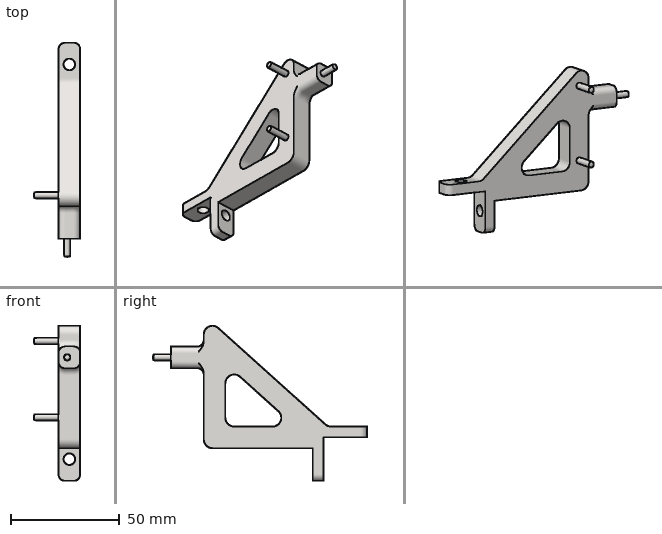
import cadquery as cq
import math


thickness = 10.0
body_height = 56.23
slope_angle = math.radians(41.97)
corner_radius = 4.0
frame_width = 10.0

tab_thickness = 5.0
tab_end_y = 75.0
tab_top = 10.0
hanging_tab_back_y = 55.0
hanging_tab_bottom = -15.0
tab_end_radius = 3.0
tab_hole_diameter = 5.2
tab_hole_to_end = 10.0

boss_length = 15.0
boss_height = 10.0
boss_center_z = 41.7
boss_corner_radius = 3.0
boss_root_radius = 3.0

pin_diameter = 3.0
pin_body_length = 20.0
pin_taper_length = 0.9
pin_dome_radius = pin_diameter
pin_dome_height = 0.33
side_pin_depth = 9.0
side_pin_y = 5.0
side_pin_heights = (14.2, 49.2)
boss_pin_depth = 12.0
boss_pin_x = 4.0

top_round_z = body_height - corner_radius
slope_offset = (
    corner_radius * math.sin(slope_angle) + top_round_z * math.cos(slope_angle) + corner_radius
)


def slope_y(z, inset=0.0):
    """Y of the sloped edge, moved inward by inset, at height z."""
    return (slope_offset - inset - z * math.cos(slope_angle)) / math.sin(slope_angle)


def slope_z(y, inset=0.0):
    """Z of the sloped edge, moved inward by inset, at distance y from the front face."""
    return (slope_offset - inset - y * math.sin(slope_angle)) / math.cos(slope_angle)


def extrude_profile(points):
    """Extrude a YZ outline across the bracket thickness."""
    return cq.Workplane("YZ").polyline(points).close().extrude(thickness)


def near_edge(y, z):
    """Select the edge along X that passes closest to (y, z)."""
    return cq.selectors.NearestToPointSelector((thickness / 2, y, z))


def make_plate():
    """Triangular plate with both tabs as one outline, with rounded corners."""
    hanging_tab_front_y = hanging_tab_back_y - tab_thickness
    tab_underside = tab_top - tab_thickness
    plate = extrude_profile([
        (0, 0),
        (hanging_tab_front_y, 0),
        (hanging_tab_front_y, hanging_tab_bottom),
        (hanging_tab_back_y, hanging_tab_bottom),
        (hanging_tab_back_y, tab_underside),
        (tab_end_y, tab_underside),
        (tab_end_y, tab_top),
        (slope_y(tab_top), tab_top),
        (0, slope_z(0)),
    ])
    for corner in [(0, 0), (slope_y(tab_top), tab_top), (0, slope_z(0))]:
        plate = plate.edges("|X").edges(near_edge(*corner)).fillet(corner_radius)
    plate = plate.faces(">Y").edges("|Z").fillet(tab_end_radius)
    return plate.faces("<Z").edges("|Y").fillet(tab_end_radius)


def make_window():
    """Triangular opening that leaves a frame of even width."""
    window = extrude_profile([
        (frame_width, frame_width),
        (slope_y(frame_width, frame_width), frame_width),
        (frame_width, slope_z(frame_width, frame_width)),
    ])
    return window.edges("|X").fillet(corner_radius)


def make_boss():
    """Rounded boss with a filleted root, trimmed flush with the plate sides."""
    root_margin = 2 * boss_root_radius
    root = cq.Workplane("XY").box(
        thickness + 2 * root_margin, frame_width, boss_height + 2 * root_margin
    ).translate((thickness / 2, frame_width / 2, boss_center_z))
    boss = (
        cq.Workplane("XZ", origin=(thickness / 2, 0, boss_center_z))
        .rect(thickness, boss_height)
        .extrude(boss_length)
        .edges("|Y")
        .fillet(boss_corner_radius)
    )
    flared = root.union(boss)
    root_selector = cq.selectors.BoxSelector(
        (-boss_root_radius, -boss_root_radius, boss_center_z - boss_height),
        (thickness + boss_root_radius, boss_root_radius, boss_center_z + boss_height),
    )
    flared = flared.edges(root_selector).fillet(boss_root_radius)
    trim_depth = boss_length + boss_root_radius
    trim = cq.Workplane("XY").box(
        thickness, trim_depth, boss_height + 2 * boss_root_radius
    ).translate((thickness / 2, boss_root_radius - trim_depth / 2, boss_center_z))
    return flared.intersect(trim)


def pin_seats():
    """Mouth centre, outward direction and depth of every pin hole."""
    seats = [((0, side_pin_y, z), (-1, 0, 0), side_pin_depth) for z in side_pin_heights]
    seats.append(((boss_pin_x, -boss_length, boss_center_z), (0, -1, 0), boss_pin_depth))
    return seats


def make_bracket():
    """Plate, boss, tab holes and blind pin holes."""
    bracket = make_plate().cut(make_window()).union(make_boss())

    tab_hole_radius = tab_hole_diameter / 2
    upright_hole = cq.Solid.makeCylinder(
        tab_hole_radius,
        tab_thickness,
        cq.Vector(thickness / 2, tab_end_y - tab_hole_to_end, tab_top - tab_thickness),
        cq.Vector(0, 0, 1),
    )
    level_hole = cq.Solid.makeCylinder(
        tab_hole_radius,
        tab_thickness,
        cq.Vector(thickness / 2, hanging_tab_back_y, hanging_tab_bottom + tab_hole_to_end),
        cq.Vector(0, -1, 0),
    )
    bracket = bracket.cut(upright_hole).cut(level_hole)

    for mouth, outward, depth in pin_seats():
        inward = cq.Vector(*outward) * -1
        hole = cq.Solid.makeCylinder(pin_diameter / 2, depth, cq.Vector(*mouth), inward)
        bracket = bracket.cut(hole)
    return bracket


def make_pin(mouth, outward, depth):
    """Dowel pin seated to depth, with a tapered and domed outer end."""
    pin_radius = pin_diameter / 2
    dome_top = pin_body_length + pin_dome_height
    dome_center = dome_top - pin_dome_radius
    tip_radius = math.sqrt(pin_dome_radius**2 - (pin_body_length - dome_center) ** 2)
    half_angle = math.asin(tip_radius / pin_dome_radius) / 2
    dome_middle = (
        pin_dome_radius * math.sin(half_angle),
        dome_center + pin_dome_radius * math.cos(half_angle),
    )
    seat = cq.Vector(*mouth) - cq.Vector(*outward) * depth
    upward = cq.Vector(0, 0, 1)
    axis_plane = cq.Plane(origin=seat, xDir=upward, normal=upward.cross(cq.Vector(*outward)))
    return (
        cq.Workplane(axis_plane)
        .lineTo(pin_radius, 0)
        .lineTo(pin_radius, pin_body_length - pin_taper_length)
        .lineTo(tip_radius, pin_body_length)
        .threePointArc(dome_middle, (0, dome_top))
        .close()
        .revolve(360, (0, 0), (0, 1))
    )


bracket = make_bracket()
pins = [make_pin(*seat) for seat in pin_seats()]
result = cq.Compound.makeCompound([bracket.val(), *[pin.val() for pin in pins]])